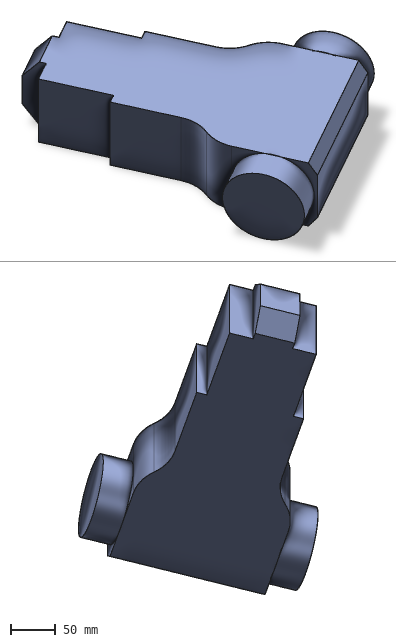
import cadquery as cq
import math

length = 368.0
body_height = 94.2

tongue_width = 46.0
neck_width = 101.0
shank_width = 124.5
head_width = 180.5
neck_start = 28.0
shank_start = 116.0
flare_start = 199.0
flare_end = 267.5

tongue_slope_length = 20.2
tongue_slope_height = 26.0
head_slope_length = 10.5
head_slope_height = 15.5

trunnion_diameter = 96.0
trunnion_span = 250.0
trunnion_x = 316.0

flare_mid_x = (flare_start + flare_end) / 2
flare_mid_y = (shank_width + head_width) / 4
arc_run = flare_mid_x - flare_start
arc_rise = flare_mid_y - shank_width / 2
flare_radius = (arc_run**2 + arc_rise**2) / (2 * arc_rise)
half_angle = math.atan2(arc_rise, arc_run)
half_run = flare_radius * math.sin(half_angle)
half_rise = flare_radius * (1 - math.cos(half_angle))


def make_plan_body():
    """Extruded plan outline, drawn for +Y and mirrored about the X axis."""
    half = (
        cq.Workplane("XY", origin=(0, 0, -body_height / 2))
        .lineTo(0, tongue_width / 2)
        .lineTo(neck_start, tongue_width / 2)
        .lineTo(neck_start, neck_width / 2)
        .lineTo(shank_start, neck_width / 2)
        .lineTo(shank_start, shank_width / 2)
        .lineTo(flare_start, shank_width / 2)
        .threePointArc(
            (flare_start + half_run, shank_width / 2 + half_rise),
            (flare_mid_x, flare_mid_y),
        )
        .threePointArc(
            (flare_end - half_run, head_width / 2 - half_rise),
            (flare_end, head_width / 2),
        )
        .lineTo(length, head_width / 2)
        .lineTo(length, 0)
    )
    return half.mirrorX().extrude(body_height)


def make_side_envelope():
    """Side profile with the sloped tongue tip and head end."""
    top = body_height / 2
    tip = top - tongue_slope_height
    back = top - head_slope_height
    points = [
        (0, -tip),
        (0, tip),
        (tongue_slope_length, top),
        (length - head_slope_length, top),
        (length, back),
        (length, -back),
        (length - head_slope_length, -top),
        (tongue_slope_length, -top),
    ]
    return cq.Workplane("XZ").polyline(points).close().extrude(head_width / 2, both=True)


def make_trunnion(side):
    """Cylinder standing on one head side; side is +1 for +Y and -1 for -Y."""
    projection = (trunnion_span - head_width) / 2
    return (
        cq.Workplane("XZ", origin=(trunnion_x, side * head_width / 2, 0))
        .circle(trunnion_diameter / 2)
        .extrude(-side * projection)
    )


result = make_plan_body().intersect(make_side_envelope())
for side in (1, -1):
    result = result.union(make_trunnion(side))